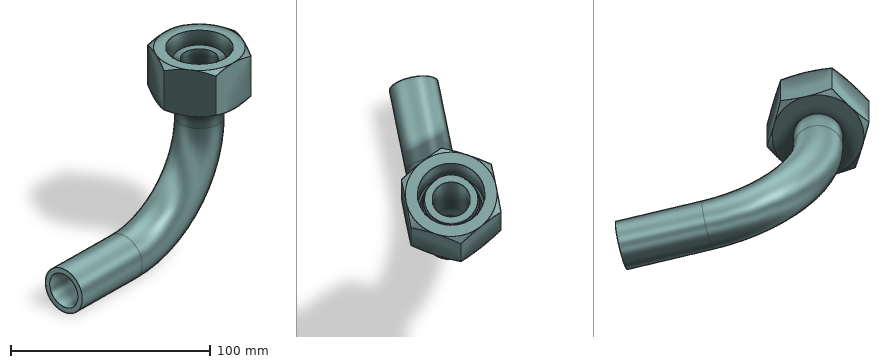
import cadquery as cq
import math


across_flats = 46.0
across_corners = across_flats / math.cos(math.radians(30))
nut_height = 27
nut_bore_diameter = 33.8
chamfer_angle = 30

tube_diameter = 25.0
tube_bore_diameter = 19.0
bend_radius = 57.0
overall_length = 128.5
overall_height = 109.5

nose_depth = 6.5
nose_tip_diameter = 26.7
nose_half_angle = 12
nose_base_diameter = 31.1
groove_width = 2.3
groove_depth = 0.9
groove_offset = 2.8

tube_end_y = across_corners / 2 - overall_length
nut_top = overall_height - tube_diameter / 2
nut_bottom = nut_top - nut_height
nose_top = nut_top - nose_depth
nose_slope = math.tan(math.radians(nose_half_angle))
nose_length = (nose_base_diameter - nose_tip_diameter) / 2 / nose_slope
nose_bottom = nose_top - nose_length


def revolve_about_z(points):
    """Revolve a closed (radius, height) outline about the nut axis."""
    return cq.Workplane("XZ").polyline(points).close().revolve(360, (0, 0), (0, 1))


def make_nut():
    """Hexagon with corners on Y, both ends chamfered and bored down to the nose base."""
    flat_radius = across_flats / 2
    corner_radius = across_corners / 2
    chamfer_drop = (corner_radius - flat_radius) * math.tan(math.radians(chamfer_angle))
    hexagon = (
        cq.Workplane("XY", origin=(0, 0, nut_bottom))
        .polygon(6, across_corners)
        .extrude(nut_height)
        .rotate((0, 0, 0), (0, 0, 1), 30)
    )
    chamfered_blank = revolve_about_z([
        (0, nut_bottom),
        (flat_radius, nut_bottom),
        (corner_radius, nut_bottom + chamfer_drop),
        (corner_radius, nut_top - chamfer_drop),
        (flat_radius, nut_top),
        (0, nut_top),
    ])
    bore = (
        cq.Workplane("XY", origin=(0, 0, nose_bottom))
        .circle(nut_bore_diameter / 2)
        .extrude(nut_top - nose_bottom)
    )
    return hexagon.intersect(chamfered_blank).cut(bore)


def make_nose():
    """Cone narrowing upward, with a square seal groove around it."""
    groove_top = nose_top - groove_offset
    groove_bottom = groove_top - groove_width
    tip_radius = nose_tip_diameter / 2
    groove_top_radius = tip_radius + groove_offset * nose_slope
    groove_bottom_radius = groove_top_radius + groove_width * nose_slope
    groove_floor_radius = groove_top_radius - groove_depth
    return revolve_about_z([
        (0, nose_bottom),
        (nose_base_diameter / 2, nose_bottom),
        (groove_bottom_radius, groove_bottom),
        (groove_floor_radius, groove_bottom),
        (groove_floor_radius, groove_top),
        (groove_top_radius, groove_top),
        (tip_radius, nose_top),
        (0, nose_top),
    ])


def sweep_along_tube(diameter):
    """Round bar from the nose tip, down through the bend and out to the free end."""
    bend_offset = bend_radius * (1 - math.cos(math.radians(45)))
    path = (
        cq.Workplane("YZ")
        .moveTo(0, nose_top)
        .lineTo(0, bend_radius)
        .threePointArc((-bend_offset, bend_offset), (-bend_radius, 0))
        .lineTo(tube_end_y, 0)
    )
    return cq.Workplane("XY", origin=(0, 0, nose_top)).circle(diameter / 2).sweep(path)


tube = sweep_along_tube(tube_diameter)
tube_bore = sweep_along_tube(tube_bore_diameter)
result = make_nut().union(make_nose()).union(tube).cut(tube_bore)